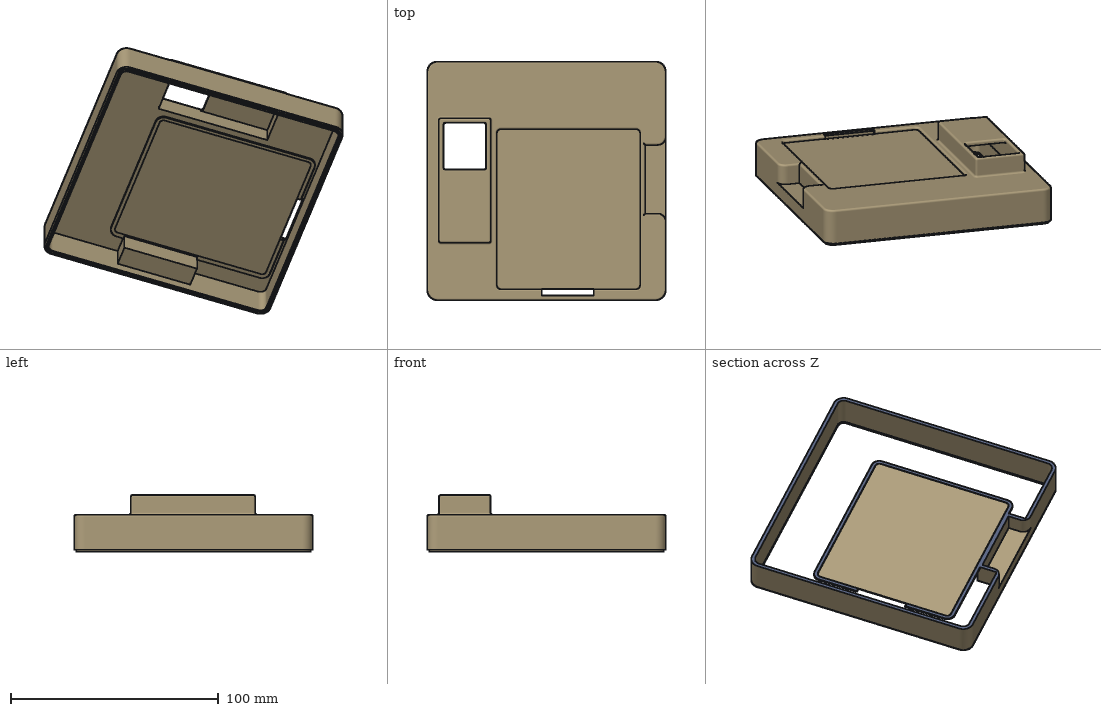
import cadquery as cq

side = 115.0
deck_z = 17.9
total_height = 27.5
corner_radius = 5.1

edge_fillet = 1.0
wall = 2 * edge_fillet
deck_thickness = 1.0
deck_underside = deck_z - deck_thickness

frame_height = 1.0
frame_inset = wall / 2

block_width = 25.0
block_length = 60.0
block_x = -39.3
block_y = 0.2
block_wall = 2.3
hollow_width = block_width - 2 * block_wall
hollow_length = block_length - 2 * block_wall
roof_underside = total_height - wall

window_length = 22.4
window_y = block_y + hollow_length / 2 - window_length / 2
window_corner_radius = 1.0

recess_width = 69.0
recess_length = 77.0
recess_x = 10.6
recess_y = -13.6
recess_depth = 1.5
recess_floor = 0.5
recess_radius = wall
recess_underside = deck_z - recess_depth - recess_floor

slot_width = 25.0
slot_length = 3.0
slot_x = 10.2
slot_y = recess_y - recess_length / 2 - slot_length / 2

notch_depth = 9.9
notch_width = 33.0
notch_y = 0.8
notch_floor_z = 8.0
notch_corner_radius = 4.0

overrun = 1.2
margin = 0.1


def box(width, length, x, y, bottom, top):
    """Block centred at (x, y) between two heights."""
    base = cq.Workplane("XY", origin=(x, y, bottom))
    return base.rect(width, length).extrude(top - bottom)


def rounded_box(width, length, radius, x, y, bottom, top):
    """Block centred at (x, y) with rounded upright corners."""
    return box(width, length, x, y, bottom, top).edges("|Z").fillet(radius)


def notch_box(grow, bottom, top):
    """Notch space, enlarged by grow on its three inner sides."""
    width = 2 * (notch_depth + grow)
    return box(width, notch_width + 2 * grow, side / 2, notch_y, bottom, top)


def fillet_loop(body, radius, width, length, x, y, z):
    """Round the flat loop of edges that fills a width x length area at height z."""
    half_width = width / 2 + margin
    half_length = length / 2 + margin
    loop = cq.selectors.BoxSelector(
        (x - half_width, y - half_length, z - margin),
        (x + half_width, y + half_length, z + margin),
        boundingbox=True,
    )
    return body.edges(loop).fillet(radius)


def make_outer_form():
    """Solid square form with the side notch and the rounded deck edge."""
    form = rounded_box(side, side, corner_radius, 0, 0, frame_height, deck_z)
    form = form.cut(notch_box(0, notch_floor_z, deck_z + overrun))
    notch_mouth = cq.selectors.BoxSelector(
        (side / 2 - overrun, notch_y - notch_width, notch_floor_z),
        (side / 2 + overrun, notch_y + notch_width, deck_z),
    )
    form = form.edges("|Z").edges(notch_mouth).fillet(notch_corner_radius)
    return form.faces(">Z").edges().fillet(edge_fillet)


def make_cavity():
    """Space open at the bottom that leaves walls around the recess and the notch."""
    inner_side = side - 2 * wall
    inner_radius = corner_radius - wall
    cavity = rounded_box(inner_side, inner_side, inner_radius, 0, 0, frame_height, deck_underside)
    recess_surround = rounded_box(
        recess_width + 2 * wall, recess_length + 2 * wall, recess_radius + wall,
        recess_x, recess_y, recess_underside, deck_z,
    )
    notch_surround = notch_box(wall, notch_floor_z - wall, deck_z)
    return cavity.cut(recess_surround).cut(notch_surround)


def cut_recess(body):
    recess = rounded_box(
        recess_width, recess_length, recess_radius,
        recess_x, recess_y, deck_z - recess_depth, deck_z + overrun,
    )
    body = body.cut(recess)
    return fillet_loop(body, edge_fillet, recess_width, recess_length, recess_x, recess_y, deck_z)


def add_block(body):
    """Block with rounded edges, blended into the deck by a fillet at its foot."""
    block = rounded_box(
        block_width, block_length, edge_fillet, block_x, block_y, deck_underside, total_height
    )
    block = block.faces(">Z").edges().fillet(edge_fillet)
    body = body.union(block)
    return fillet_loop(body, edge_fillet, block_width, block_length, block_x, block_y, deck_z)


def hollow_block(body):
    """Empty the block from below and open the window in its roof."""
    hollow = box(hollow_width, hollow_length, block_x, block_y, frame_height, roof_underside)
    window = rounded_box(
        hollow_width, window_length, window_corner_radius,
        block_x, window_y, roof_underside - overrun, total_height,
    )
    body = body.cut(window)
    body = fillet_loop(
        body, edge_fillet, hollow_width, window_length, block_x, window_y, total_height
    )
    return body.cut(hollow)


def cut_slot(body):
    return body.cut(box(slot_width, slot_length, slot_x, slot_y, frame_height, deck_z + overrun))


def make_housing():
    body = make_outer_form().cut(make_cavity())
    body = cut_recess(body)
    body = add_block(body)
    body = hollow_block(body)
    return cut_slot(body)


def make_base_frame():
    """Thin square ring, set in from the outer wall and flush with the cavity."""
    outer_side = side - 2 * frame_inset
    inner_side = side - 2 * wall
    ring = rounded_box(outer_side, outer_side, corner_radius - frame_inset, 0, 0, 0, frame_height)
    opening = rounded_box(inner_side, inner_side, corner_radius - wall, 0, 0, 0, frame_height)
    return ring.cut(opening)


housing = make_housing()
base_frame = make_base_frame()

result = cq.Compound.makeCompound([housing.val(), base_frame.val()])